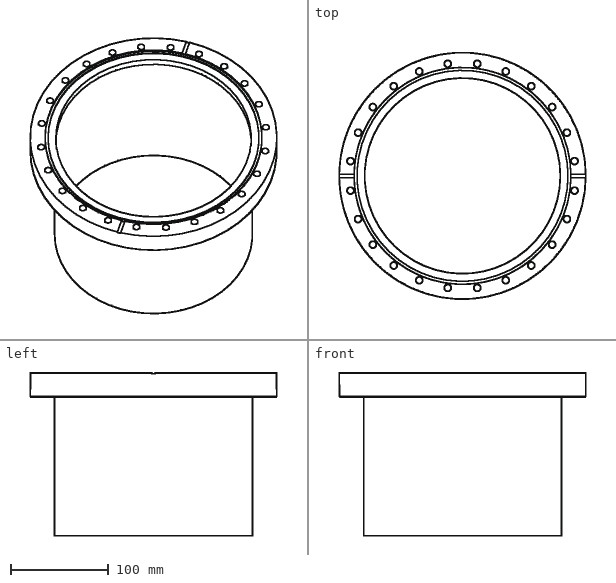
import cadquery as cq

flange_diameter = 253.0
flange_thickness = 24.8
total_height = 167.0
edge_chamfer = 0.8

tube_outer_diameter = 203.2
tube_bore_diameter = 200.5
socket_diameter = 203.7
socket_shoulder_depth = 9.9

recess_diameter = 222.5
knife_diameter = 216.3
knife_tip_depth = 0.8
knife_root_depth = 1.8
inner_face_depth = 1.8

bolt_count = 24
bolt_circle_diameter = 231.7
bolt_hole_diameter = 6.8

leak_groove_width = 3.5
leak_groove_depth = 1.0

flange_bottom = total_height - flange_thickness
shoulder_height = total_height - socket_shoulder_depth


def make_flange_ring():
    """Revolve the flange section: socket, shoulder, knife edge and seal recess."""
    bore_radius = tube_bore_diameter / 2
    socket_radius = socket_diameter / 2
    knife_radius = knife_diameter / 2
    recess_radius = recess_diameter / 2
    outer_radius = flange_diameter / 2
    section = (
        cq.Workplane("XZ")
        .moveTo(socket_radius, flange_bottom)
        .lineTo(outer_radius - edge_chamfer, flange_bottom)
        .lineTo(outer_radius, flange_bottom + edge_chamfer)
        .lineTo(outer_radius, total_height)
        .lineTo(recess_radius, total_height)
        .lineTo(recess_radius, total_height - knife_root_depth)
        .lineTo(knife_radius, total_height - knife_tip_depth)
        .lineTo(knife_radius, total_height - inner_face_depth)
        .lineTo(bore_radius, total_height - inner_face_depth)
        .lineTo(bore_radius, shoulder_height)
        .lineTo(socket_radius, shoulder_height)
        .close()
    )
    return section.revolve(360, (0, 0, 0), (0, 1, 0))


def cut_bolt_holes(flange):
    """Drill the bolt holes, spaced so that the X axis falls midway between two."""
    pitch_angle = 360 / bolt_count
    holes = (
        cq.Workplane("XY")
        .workplane(offset=flange_bottom)
        .polarArray(bolt_circle_diameter / 2, pitch_angle / 2, 360, bolt_count)
        .circle(bolt_hole_diameter / 2)
        .extrude(flange_thickness)
    )
    return flange.cut(holes)


def cut_leak_grooves(flange):
    """Cut the two round-bottomed radial grooves from the seal recess to the rim, along X."""
    inner_radius = (knife_diameter + recess_diameter) / 4
    groove_length = flange_diameter / 2 - inner_radius
    arc_radius = ((leak_groove_width / 2) ** 2 + leak_groove_depth**2) / (2 * leak_groove_depth)
    axis_height = total_height - leak_groove_depth + arc_radius
    for start_x in (inner_radius, -flange_diameter / 2):
        groove = (
            cq.Workplane("YZ", origin=(start_x, 0, axis_height))
            .circle(arc_radius)
            .extrude(groove_length)
        )
        flange = flange.cut(groove)
    return flange


def make_flange():
    """Bolted knife-edge flange."""
    flange = make_flange_ring()
    flange = cut_bolt_holes(flange)
    return cut_leak_grooves(flange)


def make_tube():
    """Plain tube whose upper end stops against the flange shoulder."""
    return (
        cq.Workplane("XY")
        .circle(tube_outer_diameter / 2)
        .circle(tube_bore_diameter / 2)
        .extrude(shoulder_height)
    )


flange = make_flange()
tube = make_tube()
result = cq.Compound.makeCompound([flange.val(), tube.val()])